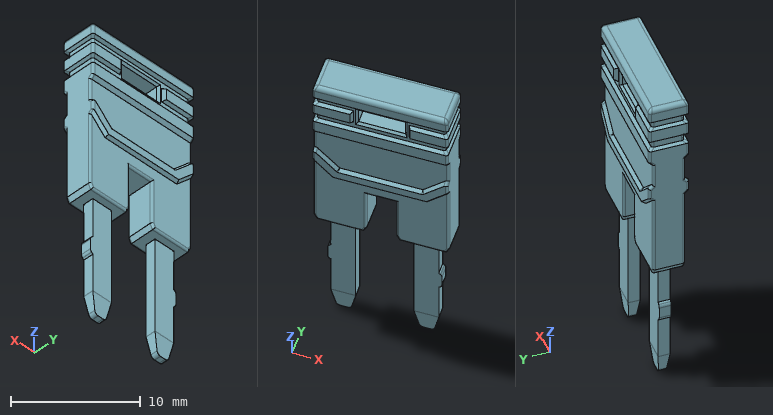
import cadquery as cq
import math

total_height = 28.2
body_width = 11.0
grip_depth = 3.3
base_depth = 2.66
body_bottom = 11.4
edge_radius = 0.2
edge_bevel = 0.2
top_radius = 0.4
relief = (grip_depth - base_depth) / 2

neck_width = 10.44
band_slope = 0.16
top_band_bottom = total_height - 1.24
middle_band_top = total_height - 2.16
middle_band_bottom = total_height - 3.22
collar_top = total_height - 4.2
collar_slope_top = total_height - 5.38
collar_bottom = collar_slope_top - relief

window_width = 3.8
window_top = total_height - 1.94
window_bottom = total_height - 3.44
band_gap_width = 4.5

slot_width = 2.4
slot_top = total_height - 12.07
foot_bevel_x = 0.25
foot_bevel_z = 0.5

chevron_foot = total_height - 10.58
chevron_upper = total_height - 9.82
chevron_foot_half = 3.8
chevron_upper_half = 3.46
chevron_overrun = 1.0

pin_pitch = 6.74
pin_width = 2.04
pin_thickness = 1.0
pin_overlap = 1.0
taper_length = 2.0
tip_width = 1.16
tip_thickness = 0.64
tip_radius = 0.4
bump_height = 0.25
bump_top = 7.54
bump_bottom = 5.72
bump_ramp = 0.25
bump_radius = 0.4


def centred_box(width, depth, bottom, top):
    """Plain upright block, centred on the Z axis."""
    return cq.Workplane("XY", origin=(0, 0, bottom)).rect(width, depth).extrude(top - bottom)


def rounded_block(width, depth, bottom, top):
    """Upright block with rounded vertical edges, centred on the Z axis."""
    return centred_box(width, depth, bottom, top).edges("|Z").fillet(edge_radius)


def flare(outer_z, neck_z):
    """Sloped transition between the full grip outline and the neck outline."""
    grip_outline = cq.Sketch().rect(body_width, grip_depth).vertices().fillet(edge_radius)
    neck_outline = cq.Sketch().rect(neck_width, base_depth).vertices().fillet(edge_radius)
    return (
        cq.Workplane("XY", origin=(0, 0, outer_z))
        .placeSketch(grip_outline, neck_outline.moved(cq.Location(cq.Vector(0, 0, neck_z - outer_z))))
        .loft(ruled=True)
    )


def make_feet():
    """Plain housing below the neck: two feet joined above a slot, edges still sharp."""
    half = body_width / 2
    slot_half = slot_width / 2
    bevel_top = body_bottom + foot_bevel_z
    right_half = [
        (slot_half, slot_top),
        (slot_half, bevel_top),
        (slot_half + foot_bevel_x, body_bottom),
        (half - foot_bevel_x, body_bottom),
        (half, bevel_top),
        (half, collar_top),
    ]
    left_half = [(-x, z) for x, z in reversed(right_half)]
    return (
        cq.Workplane("XZ")
        .polyline(right_half + left_half)
        .close()
        .extrude(base_depth / 2, both=True)
    )


def make_collar():
    """Collar whose front and back slope in to the housing below, edges still sharp."""
    return (
        cq.Workplane("YZ")
        .polyline([
            (-grip_depth / 2, collar_top),
            (-grip_depth / 2, collar_slope_top),
            (-base_depth / 2, collar_bottom),
            (base_depth / 2, collar_bottom),
            (grip_depth / 2, collar_slope_top),
            (grip_depth / 2, collar_top),
        ])
        .close()
        .extrude(body_width / 2, both=True)
    )


def make_chevron():
    """Raised V-shaped bar with sloped flanks on the -Y face, edges still sharp."""
    reach = body_width / 2 + chevron_overrun
    foot_end = chevron_foot + reach - chevron_foot_half
    upper_end = chevron_upper + reach - chevron_upper_half
    bar = (
        cq.Workplane("XZ", origin=(0, -base_depth / 2, 0))
        .polyline([
            (-reach, foot_end),
            (-chevron_foot_half, chevron_foot),
            (chevron_foot_half, chevron_foot),
            (reach, foot_end),
            (reach, upper_end),
            (chevron_upper_half, chevron_upper),
            (-chevron_upper_half, chevron_upper),
            (-reach, upper_end),
        ])
        .close()
        .offset2D(edge_bevel, "intersection")
        .extrude(relief, taper=math.degrees(math.atan2(edge_bevel, relief)))
    )
    return bar.intersect(centred_box(body_width, grip_depth, body_bottom, collar_bottom))


def make_housing():
    """Feet, collar and chevrons, with the edges of the sides, feet and slot rounded."""
    chevron = make_chevron()
    housing = make_feet().union(make_collar())
    housing = housing.union(chevron).union(chevron.mirror("XZ"))
    side_edges = housing.faces("<X or >X").edges("not(|Y)").vals()
    foot_edges = housing.edges(
        cq.selectors.BoxSelector(
            (-body_width, -grip_depth, 0), (body_width, grip_depth, slot_top + edge_radius)
        )
    ).edges("not(|Y)").vals()
    rounded = {edge.hashCode(): edge for edge in side_edges + foot_edges}
    return housing.newObject(list(rounded.values())).fillet(edge_radius)


def make_top_band():
    band = rounded_block(body_width, grip_depth, top_band_bottom, total_height)
    band = band.faces(">Z").edges().fillet(top_radius)
    return band.union(flare(top_band_bottom, top_band_bottom - band_slope))


def make_middle_band():
    """Band around the grip, interrupted by a bevelled gap on both faces."""
    band = rounded_block(body_width, grip_depth, middle_band_bottom, middle_band_top)
    lower_end = middle_band_bottom - band_slope
    upper_end = middle_band_top + band_slope
    band = band.union(flare(middle_band_top, upper_end)).union(flare(middle_band_bottom, lower_end))
    gap_half = band_gap_width / 2
    outer_y = grip_depth / 2
    base_y = base_depth / 2
    gap = (
        cq.Workplane("XY", origin=(0, 0, lower_end))
        .polyline([
            (-gap_half - edge_bevel, outer_y),
            (-gap_half, base_y),
            (-gap_half, -base_y),
            (-gap_half - edge_bevel, -outer_y),
            (gap_half + edge_bevel, -outer_y),
            (gap_half, -base_y),
            (gap_half, base_y),
            (gap_half + edge_bevel, outer_y),
        ])
        .close()
        .extrude(upper_end - lower_end)
    )
    return band.cut(gap)


def make_neck():
    """Recessed core of the grip, flared out to the collar."""
    neck = rounded_block(neck_width, base_depth, collar_top, total_height - top_radius)
    return neck.union(flare(collar_top, collar_top + band_slope))


def cut_window(body):
    """Through window with bevelled rims on the neck faces."""
    middle = (window_top + window_bottom) / 2
    height = window_top - window_bottom
    body = body.cut(centred_box(window_width, grip_depth, window_bottom, window_top))
    for side in (1, -1):
        rim = (
            cq.Workplane("XZ", origin=(0, side * base_depth / 2, middle))
            .rect(window_width + 2 * edge_bevel, height + 2 * edge_bevel)
            .workplane(offset=side * edge_bevel)
            .rect(window_width, height)
            .loft()
        )
        body = body.cut(rim)
    return body


def make_pin(outward):
    """Contact pin with a locking bump on its outer side and a tapered, rounded tip."""
    centre = outward * pin_pitch / 2
    outer = centre + outward * pin_width / 2
    shank = centred_box(pin_width, pin_thickness, taper_length, body_bottom + pin_overlap)
    tip = (
        cq.Workplane("XY")
        .rect(tip_width, tip_thickness)
        .workplane(offset=taper_length)
        .rect(pin_width, pin_thickness)
        .loft()
        .faces("<Z")
        .edges("|Y")
        .fillet(tip_radius)
    )
    bump = (
        cq.Workplane("XZ")
        .polyline([
            (outer, bump_bottom),
            (outer + outward * bump_height, bump_bottom + bump_ramp),
            (outer + outward * bump_height, bump_top - bump_ramp),
            (outer, bump_top),
        ])
        .close()
        .extrude(pin_thickness / 2, both=True)
    )
    outer_face = ">X" if outward > 0 else "<X"
    bump = bump.faces(outer_face).edges("|Y").fillet(bump_radius)
    return shank.union(tip).translate((centre, 0, 0)).union(bump)


result = make_housing()
for piece in (make_top_band(), make_middle_band(), make_neck()):
    result = result.union(piece)
result = cut_window(result)
for outward in (-1, 1):
    result = result.union(make_pin(outward))